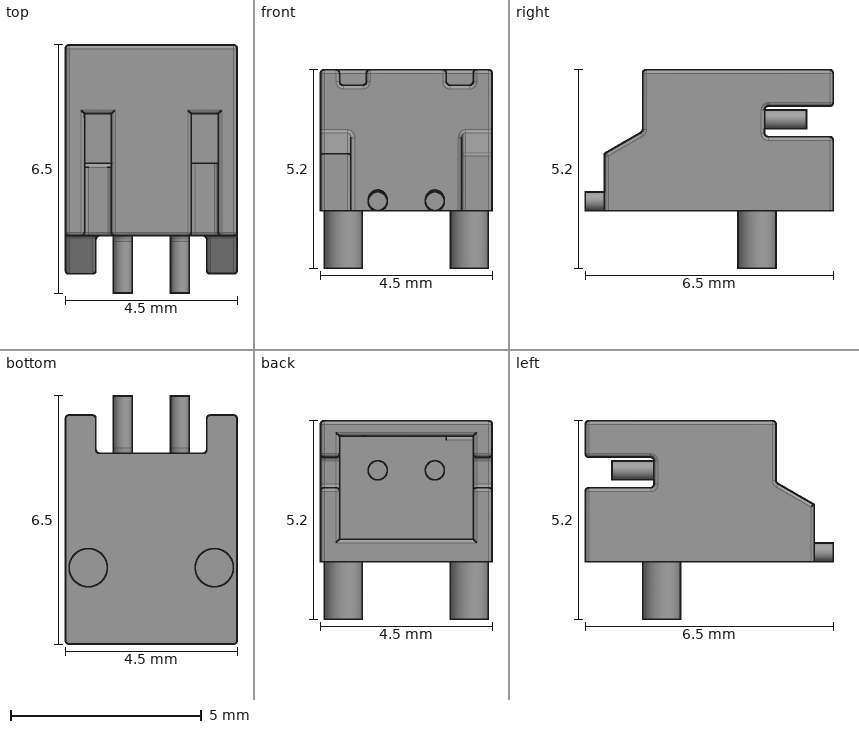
import cadquery as cq
import math


WIDTH = 4.5
DEPTH = 5.0
HEIGHT = 3.7
SIDE_WALL = 0.5
FLOOR = 0.6
ROOF = 0.4
EDGE_RADIUS = 0.1

CAVITY_DEPTH = 3.1
CAVITY_HALF_WIDTH = WIDTH / 2 - SIDE_WALL
CAVITY_REAR_Y = DEPTH - CAVITY_DEPTH
CAVITY_TOP_Z = HEIGHT - ROOF

ROOF_SLOT_WIDTH = 0.7
ROOF_SLOT_X = CAVITY_HALF_WIDTH - ROOF_SLOT_WIDTH / 2

SIDE_SLOT_BOTTOM_Z = 1.945
SIDE_SLOT_HEIGHT = 0.8
SIDE_SLOT_MIDDLE_Z = SIDE_SLOT_BOTTOM_Z + SIDE_SLOT_HEIGHT / 2
SLOT_END_FROM_MOUTH = 1.8
SLOT_END_Y = DEPTH - SLOT_END_FROM_MOUTH

LEG_WIDTH = 0.8
LEG_LENGTH = 1.0
LEG_END_HEIGHT = 1.5
LEG_SLOPE_DEGREES = 30
LEG_WALL_HEIGHT = LEG_END_HEIGHT + LEG_LENGTH * math.tan(math.radians(LEG_SLOPE_DEGREES))

PEG_DIAMETER = 1.0
PEG_LENGTH = 1.5
PEG_X = 1.65
PEG_FROM_MOUTH = 2.0
PEG_Y = DEPTH - PEG_FROM_MOUTH

PIN_DIAMETER = 0.5
PIN_X = 0.75
PIN_BEND_RADIUS = 0.5
PIN_TAIL_Z = PIN_DIAMETER / 2
PIN_CONTACT_Z = 2.4
PIN_TAIL_PAST_LEGS = 0.5
PIN_TAIL_END_Y = -LEG_LENGTH - PIN_TAIL_PAST_LEGS
PIN_TAIL_BEND_Y = -0.15
PIN_CONTACT_FROM_MOUTH = 0.7
PIN_CONTACT_END_Y = DEPTH - PIN_CONTACT_FROM_MOUTH

SIDES = (-1, 1)
TOLERANCE = 0.005


def box(x_range, y_range, z_range):
    """Axis-aligned box from its lower and upper limits."""
    size = [high - low for low, high in (x_range, y_range, z_range)]
    corner = (x_range[0], y_range[0], z_range[0])
    return cq.Workplane("XY").box(*size, centered=False).translate(corner)


def make_leg(side):
    outline = [
        (0, 0),
        (-LEG_LENGTH, 0),
        (-LEG_LENGTH, LEG_END_HEIGHT),
        (0, LEG_WALL_HEIGHT),
    ]
    leg_x = side * (WIDTH - LEG_WIDTH) / 2
    leg = cq.Workplane("YZ").polyline(outline).close().extrude(LEG_WIDTH / 2, both=True)
    return leg.translate((leg_x, 0, 0))


def make_cavity():
    half = CAVITY_HALF_WIDTH
    return box((-half, half), (CAVITY_REAR_Y, DEPTH), (FLOOR, CAVITY_TOP_Z))


def roof_slot_x_range(side):
    return side * ROOF_SLOT_X - ROOF_SLOT_WIDTH / 2, side * ROOF_SLOT_X + ROOF_SLOT_WIDTH / 2


def make_roof_slot(side):
    return box(roof_slot_x_range(side), (0, SLOT_END_Y), (CAVITY_TOP_Z, HEIGHT))


def make_groove_end_rounding():
    """Material removed to round the cavity end of the -X groove floor."""
    x_range = roof_slot_x_range(-1)
    tangent_y = CAVITY_REAR_Y - EDGE_RADIUS
    tangent_z = CAVITY_TOP_Z - EDGE_RADIUS
    waste = box(x_range, (tangent_y, CAVITY_REAR_Y), (tangent_z, CAVITY_TOP_Z + EDGE_RADIUS))
    kept_round = cq.Workplane("YZ").center(tangent_y, tangent_z).circle(EDGE_RADIUS).extrude(ROOF_SLOT_WIDTH)
    return waste.cut(kept_round.translate((x_range[0], 0, 0)))


def make_side_slots():
    z_range = (SIDE_SLOT_BOTTOM_Z, SIDE_SLOT_BOTTOM_Z + SIDE_SLOT_HEIGHT)
    slots = box((-WIDTH / 2, WIDTH / 2), (SLOT_END_Y, DEPTH), z_range)
    return slots.edges("<Y and |X").fillet(EDGE_RADIUS)


def near(value, target):
    return abs(value - target) < TOLERANCE


def near_side_slot_height(z):
    return abs(z - SIDE_SLOT_MIDDLE_Z) < SIDE_SLOT_HEIGHT / 2 + TOLERANCE


def is_sharp_in_cavity(centre):
    """True for cavity edges, except those around the mouth and the side slots."""
    in_cavity = (
        abs(centre.x) < CAVITY_HALF_WIDTH + TOLERANCE
        and centre.y > CAVITY_REAR_Y - TOLERANCE
        and centre.z < CAVITY_TOP_Z + TOLERANCE
    )
    around_mouth = near(centre.y, DEPTH)
    around_side_slot = (
        near(abs(centre.x), CAVITY_HALF_WIDTH)
        and centre.y > SLOT_END_Y - TOLERANCE
        and near_side_slot_height(centre.z)
    )
    return in_cavity and not (around_mouth or around_side_slot)


def is_rounded(edge):
    """True for the edges that carry the general edge radius."""
    centre = edge.Center()
    on_seat = near(edge.BoundingBox().zmax, 0)
    roof_slot_corner = near(centre.y, SLOT_END_Y) and near(centre.z, HEIGHT - ROOF / 2)
    side_slot_corner = (
        near(abs(centre.x), WIDTH / 2 - SIDE_WALL / 2)
        and SLOT_END_Y - TOLERANCE < centre.y < DEPTH - TOLERANCE
        and near_side_slot_height(centre.z)
    )
    sharp_leg_end = centre.x < 0 and near(centre.y, -LEG_LENGTH) and near(centre.z, LEG_END_HEIGHT)
    sharp_corner = roof_slot_corner or side_slot_corner or sharp_leg_end
    return not (on_seat or sharp_corner or is_sharp_in_cavity(centre))


def round_edges(body):
    rounded_edges = [edge for edge in body.edges().vals() if is_rounded(edge)]
    return body.newObject(rounded_edges).fillet(EDGE_RADIUS)


def make_housing(pins):
    housing = box((-WIDTH / 2, WIDTH / 2), (0, DEPTH), (0, HEIGHT))
    for side in SIDES:
        housing = housing.union(make_leg(side))
    housing = housing.cut(make_cavity()).cut(make_side_slots())
    for side in SIDES:
        housing = housing.cut(make_roof_slot(side))
    housing = round_edges(housing).cut(make_groove_end_rounding())
    for pin in pins:
        housing = housing.cut(pin)
    return housing


def make_peg(side):
    peg = cq.Workplane("XY").circle(PEG_DIAMETER / 2).extrude(-PEG_LENGTH)
    return peg.translate((side * PEG_X, PEG_Y, 0))


def make_pin(side):
    radius = PIN_BEND_RADIUS
    riser_y = PIN_TAIL_BEND_Y + radius
    path = (
        cq.Workplane("YZ")
        .moveTo(PIN_TAIL_END_Y, PIN_TAIL_Z)
        .lineTo(PIN_TAIL_BEND_Y, PIN_TAIL_Z)
        .tangentArcPoint((riser_y, PIN_TAIL_Z + radius), relative=False)
        .lineTo(riser_y, PIN_CONTACT_Z - radius)
        .tangentArcPoint((riser_y + radius, PIN_CONTACT_Z), relative=False)
        .lineTo(PIN_CONTACT_END_Y, PIN_CONTACT_Z)
    )
    start = cq.Plane(origin=(0, PIN_TAIL_END_Y, PIN_TAIL_Z), xDir=(1, 0, 0), normal=(0, 1, 0))
    pin = cq.Workplane(start).circle(PIN_DIAMETER / 2).sweep(path)
    return pin.translate((side * PIN_X, 0, 0))


pegs = [make_peg(side) for side in SIDES]
pins = [make_pin(side) for side in SIDES]
housing = make_housing(pins)

result = cq.Compound.makeCompound(
    [housing.val(), *[peg.val() for peg in pegs], *[pin.val() for pin in pins]]
)